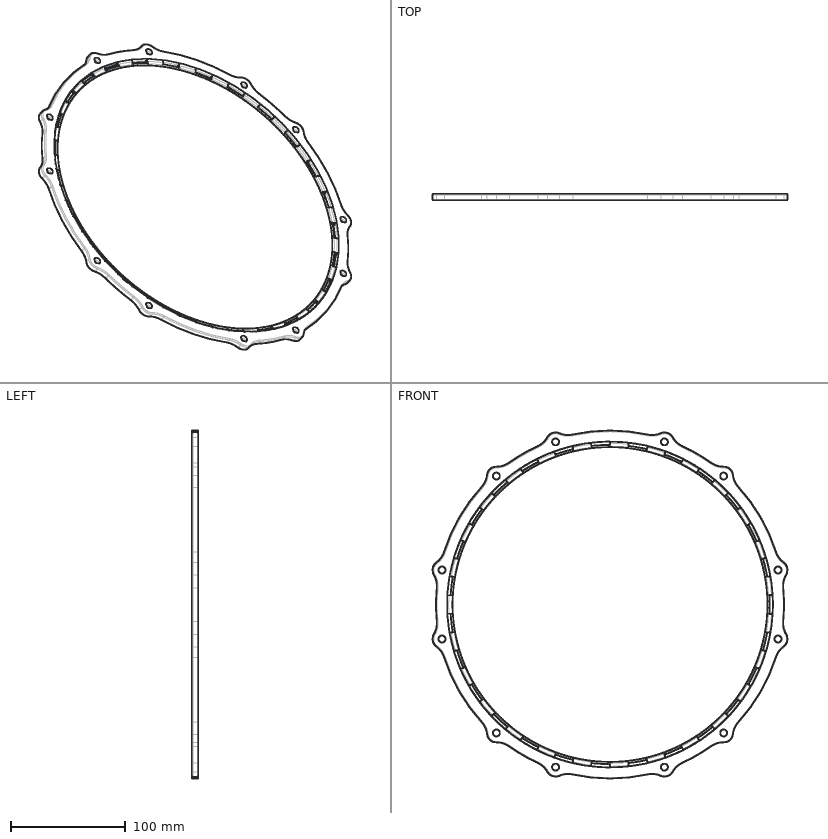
import cadquery as cq
import math

length_x = 310.0
height_z = 304.0
thickness = 6.0
edge_round = 1.0

band_outer_radius = height_z / 2
band_inner_radius = 142.3
bolt_circle_radius = 149.7
bolt_hole_diameter = 6.0
quarter_bolt_angles = (11.6, 48.5, 71.5)
lobe_blend_radius = 18.5
lobe_radius = length_x / 2 - bolt_circle_radius * math.cos(math.radians(quarter_bolt_angles[0]))

hoop_outer_radius = 139.5
hoop_section_radius = 1.1
hoop_center_radius = hoop_outer_radius - hoop_section_radius
web_count = 27
web_pitch = 360 / web_count
web_span = web_pitch / 2
web_thickness = 2 * hoop_section_radius
web_fillet = 1.2
web_overlap = 1.5


def polar(radius, degrees):
    angle = math.radians(degrees)
    return (radius * math.cos(angle), radius * math.sin(angle))


def toward(start, end, distance):
    """Point at a distance from start along the line to end."""
    span = math.dist(start, end)
    return tuple(a + (b - a) * distance / span for a, b in zip(start, end))


def all_bolt_angles():
    right_half = [sign * angle for angle in quarter_bolt_angles for sign in (1, -1)]
    left_half = [180 - angle for angle in right_half]
    return sorted(angle % 360 for angle in right_half + left_half)


def blend_offset_angle():
    """Angle from a lobe to the centre of the concave blend beside it."""
    center_distance = band_outer_radius + lobe_blend_radius
    lobe_distance = lobe_radius + lobe_blend_radius
    cosine = (bolt_circle_radius**2 + center_distance**2 - lobe_distance**2) / (
        2 * bolt_circle_radius * center_distance
    )
    return math.degrees(math.acos(cosine))


def blend_points(lobe_angle, blend_angle):
    """Points of a concave blend: on the band, halfway along the blend, on the lobe."""
    blend_center = polar(band_outer_radius + lobe_blend_radius, blend_angle)
    lobe_center = polar(bolt_circle_radius, lobe_angle)
    on_band = polar(band_outer_radius, blend_angle)
    on_lobe = toward(lobe_center, blend_center, lobe_radius)
    chord_middle = toward(on_band, on_lobe, math.dist(on_band, on_lobe) / 2)
    halfway = toward(blend_center, chord_middle, lobe_blend_radius)
    return on_band, halfway, on_lobe


def make_band():
    angles = all_bolt_angles()
    offset = blend_offset_angle()
    outline = cq.Workplane("XZ").moveTo(*polar(band_outer_radius, angles[0] - offset))
    for angle, next_angle in zip(angles, angles[1:] + [angles[0] + 360]):
        _, rise_middle, rise_end = blend_points(angle, angle - offset)
        fall_end, fall_middle, fall_start = blend_points(angle, angle + offset)
        lobe_tip = polar(bolt_circle_radius + lobe_radius, angle)
        band_middle = polar(band_outer_radius, (angle + next_angle) / 2)
        next_start = polar(band_outer_radius, next_angle - offset)
        outline = (
            outline.threePointArc(rise_middle, rise_end)
            .threePointArc(lobe_tip, fall_start)
            .threePointArc(fall_middle, fall_end)
            .threePointArc(band_middle, next_start)
        )
    blank = outline.close().extrude(thickness / 2, both=True)
    rounded = blank.faces("<Y or >Y").edges().fillet(edge_round)
    bore = cq.Workplane("XZ").circle(band_inner_radius).extrude(thickness, both=True)
    bolt_holes = (
        cq.Workplane("XZ")
        .pushPoints([polar(bolt_circle_radius, angle) for angle in angles])
        .circle(bolt_hole_diameter / 2)
        .extrude(thickness, both=True)
    )
    return rounded.cut(bore).cut(bolt_holes)


def make_hoop():
    return (
        cq.Workplane("XY")
        .center(hoop_center_radius, 0)
        .circle(hoop_section_radius)
        .revolve(360, (-hoop_center_radius, 0), (-hoop_center_radius, 1))
    )


def make_web():
    """One web, centred on +X, with a concave fillet along the band on both sides."""
    half = web_thickness / 2
    flare = half + web_fillet
    fillet_start = band_inner_radius - web_fillet
    middle_offset = web_fillet * math.sin(math.pi / 4)
    embedded_radius = band_inner_radius + web_overlap
    return (
        cq.Workplane("XY")
        .moveTo(hoop_center_radius, -half)
        .lineTo(fillet_start, -half)
        .threePointArc((fillet_start + middle_offset, middle_offset - flare), (band_inner_radius, -flare))
        .lineTo(embedded_radius, -flare)
        .lineTo(embedded_radius, flare)
        .lineTo(band_inner_radius, flare)
        .threePointArc((fillet_start + middle_offset, flare - middle_offset), (fillet_start, half))
        .lineTo(hoop_center_radius, half)
        .close()
        .revolve(web_span, (0, 0), (0, 1))
        .rotate((0, 0, 0), (0, 1, 0), -web_span / 2)
    )


def make_webs():
    web = make_web()
    webs = cq.Workplane("XY")
    for index in range(web_count):
        webs = webs.add(web.rotate((0, 0, 0), (0, 1, 0), (index + 0.5) * web_pitch))
    return webs.combine()


result = make_band().union(make_hoop()).union(make_webs())